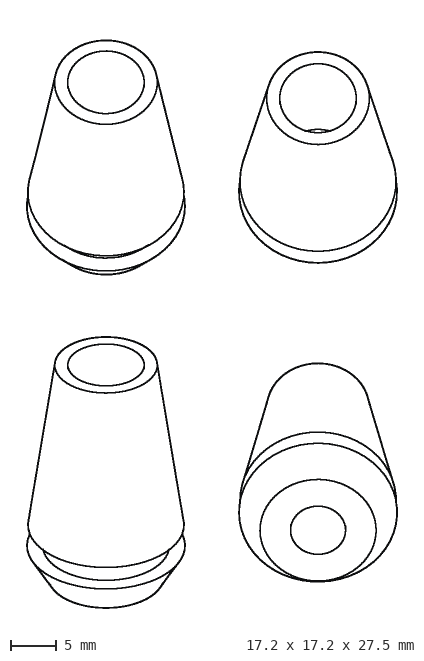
import cadquery as cq

total_height = 27.5
flange_height = 4.0
groove_width = 2.72
bore_depth = 16.5
taper_base_height = flange_height + groove_width

base_diameter = 12.65
flange_diameter = 17.25
groove_diameter = 13.8
taper_base_diameter = 17.02
top_diameter = 11.2
bore_diameter = 8.33
through_hole_diameter = 6.0


def tapered_body():
    """Revolve the outer outline: flared flange, neck groove and long taper."""
    outline = [
        (0, 0),
        (base_diameter / 2, 0),
        (flange_diameter / 2, flange_height),
        (groove_diameter / 2, flange_height),
        (groove_diameter / 2, taper_base_height),
        (taper_base_diameter / 2, taper_base_height),
        (top_diameter / 2, total_height),
        (0, total_height),
    ]
    return cq.Workplane("XZ").polyline(outline).close().revolve(360, (0, 0), (0, 1))


def cut_stepped_bore(body):
    """Cut the wide bore from the top and the narrower hole right through."""
    return body.faces(">Z").workplane().cboreHole(through_hole_diameter, bore_diameter, bore_depth)


result = cut_stepped_bore(tapered_body())